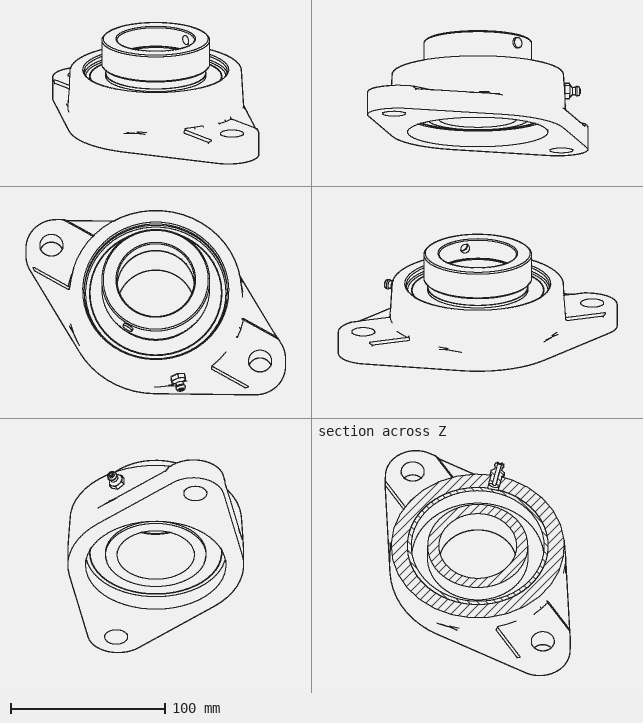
import cadquery as cq
import math

overall_length = 189.0
housing_base_radius = 114.0 / 2
housing_top_radius = 55.5
housing_top_z = 38.7
housing_edge_round = 1.0
lobe_radius = 19.8
lobe_center_x = overall_length / 2 - lobe_radius
web_top_z = 13.6
boss_top_z = 15.3
boss_top_half_width = 18.9
boss_foot_half_width = 20.2
flange_edge_round = 0.8
foot_fillet = 1.1
bolt_hole_diameter = 15.0
bolt_hole_x = 78.5
mouth_diameter = 92.8
mouth_chamfer = 1.0

bearing_outer_diameter = 91.0
bearing_face_z = 34.4
bearing_width = 24.0
bearing_bottom_z = bearing_face_z - bearing_width
bearing_middle_z = bearing_face_z - bearing_width / 2
outer_ring_inner_radius = 42.9
seal_edge_chamfer = 0.4
seal_cone_diameter = 76.2
seal_cone_rise = 0.2
seal_thickness = 2.8
bore_diameter = 50.0
inner_ring_diameter = 65.2
inner_ring_standout = 1.9
inner_ring_top_z = bearing_face_z + inner_ring_standout
sleeve_diameter = 59.3
sleeve_top_z = 46.5

collar_diameter = 70.0
collar_skirt_diameter = 64.5
collar_body_bottom_z = 41.5
collar_top_z = 60.0
collar_chamfer = 1.0
bore_chamfer = 0.8
screw_diameter = 6.8
screw_tap_diameter = 6.0
screw_z = 53.9
screw_inner_y = 30.0
screw_outer_y = 36.3

nipple_angle = 135.0
nipple_z = 27.4
nipple_shank_diameter = 6.8
nipple_shank_start = 49.1
nipple_hex_start = 56.5
nipple_hex_end = 59.5
nipple_hex_corners = 10.4
nipple_cone_end = 60.7
nipple_cone_end_radius = 3.0
nipple_neck_radius = 2.5
nipple_neck_start = 61.2
nipple_neck_end = 62.2
nipple_head_radius = 3.2
nipple_head_start = 63.3
nipple_head_middle = 64.3
nipple_head_end = 66.0
nipple_head_end_radius = 2.6
nipple_tip_radius = 1.5
nipple_tip_end = 66.5
nipple_passage_diameter = 2.3


def revolve_about_z(points):
    """Solid of revolution about Z from (radius, z) points."""
    return cq.Workplane("XZ").polyline(points).close().revolve(360, (0, 0), (0, 1))


def cylinder(diameter, bottom_z, top_z):
    return cq.Workplane("XY").workplane(offset=bottom_z).circle(diameter / 2).extrude(top_z - bottom_z)


def along_nipple(shape):
    """Turn a shape built along +Z so that it lies along the nipple radius."""
    turned = shape.rotate((0, 0, 0), (0, 0, 1), 90).rotate((0, 0, 0), (0, 1, 0), 90)
    return turned.rotate((0, 0, 0), (0, 0, 1), nipple_angle).translate((0, 0, nipple_z))


def wing_outline():
    """Right half of the flange beyond the drum: an end lobe with two lines tangent to the drum."""
    lean_sin = (housing_base_radius - lobe_radius) / lobe_center_x
    lean_cos = math.sqrt(1 - lean_sin**2)
    root_x = housing_base_radius * lean_sin
    root_y = housing_base_radius * lean_cos
    lobe_x = lobe_center_x + lobe_radius * lean_sin
    lobe_y = lobe_radius * lean_cos
    return (
        cq.Workplane("XY")
        .moveTo(root_x, root_y)
        .lineTo(lobe_x, lobe_y)
        .threePointArc((overall_length / 2, 0), (lobe_x, -lobe_y))
        .lineTo(root_x, -root_y)
        .close()
    )


def wing_plate(top_z):
    """Wing with a rounded top edge, except along its root inside the drum."""
    plate = wing_outline().extrude(top_z)
    return plate.faces(">Z").edges("not <X").fillet(flange_edge_round)


def boss_strip():
    """Long bar with sloping sides, as wide as the raised pads around the bolt holes."""
    return (
        cq.Workplane("YZ")
        .polyline([
            (-boss_foot_half_width, 0),
            (-boss_foot_half_width, web_top_z),
            (-boss_top_half_width, boss_top_z),
            (boss_top_half_width, boss_top_z),
            (boss_foot_half_width, web_top_z),
            (boss_foot_half_width, 0),
        ])
        .close()
        .extrude(overall_length / 2, both=True)
    )


def housing_radius_at(z):
    rise = (z - web_top_z) / (housing_top_z - web_top_z)
    return housing_base_radius + rise * (housing_top_radius - housing_base_radius)


def foot_fillet_ring(floor_z):
    """Concave ring between the tapered housing wall and a flat floor."""
    wall_top_z = floor_z + foot_fillet
    wall_radius = housing_radius_at(wall_top_z)
    outer_radius = wall_radius + foot_fillet
    bulge = foot_fillet * (1 - math.sqrt(0.5))
    root_radius = wall_radius - foot_fillet
    return (
        cq.Workplane("XZ")
        .moveTo(root_radius, floor_z)
        .lineTo(outer_radius, floor_z)
        .threePointArc((wall_radius + bulge, floor_z + bulge), (wall_radius, wall_top_z))
        .lineTo(root_radius, wall_top_z)
        .close()
        .revolve(360, (0, 0), (0, 1))
    )


def make_wing():
    """Low web with a raised bolt pad, and small fillets where both meet the drum."""
    boss = wing_plate(boss_top_z).intersect(boss_strip())
    flat_area = wing_outline().offset2D(-flange_edge_round).extrude(housing_top_z)
    boss_area = cq.Workplane("XY").box(overall_length, 2 * boss_top_half_width, 2 * housing_top_z)
    web_fillet = foot_fillet_ring(web_top_z).intersect(flat_area)
    boss_fillet = foot_fillet_ring(boss_top_z).intersect(flat_area).intersect(boss_area)
    return wing_plate(web_top_z).union(boss).union(web_fillet).union(boss_fillet)


def bearing_seat():
    """Through bore for the outer ring, with a conical step up to a wider chamfered mouth."""
    seat_radius = bearing_outer_diameter / 2
    mouth_radius = mouth_diameter / 2
    return revolve_about_z([
        (0, 0),
        (seat_radius, 0),
        (seat_radius, bearing_face_z),
        (mouth_radius, bearing_face_z + mouth_radius - seat_radius),
        (mouth_radius, housing_top_z - mouth_chamfer),
        (mouth_radius + mouth_chamfer, housing_top_z),
        (0, housing_top_z),
    ])


def make_housing():
    drum = revolve_about_z([
        (0, 0),
        (housing_base_radius, 0),
        (housing_base_radius, web_top_z),
        (housing_top_radius, housing_top_z),
        (0, housing_top_z),
    ])
    drum = drum.faces(">Z").edges().fillet(housing_edge_round)
    body = drum
    wing = make_wing()
    for turn in (0, 180):
        body = body.union(wing.rotate((0, 0, 0), (0, 0, 1), turn))

    body = body.cut(bearing_seat())
    for side in (-1, 1):
        bolt_hole = cylinder(bolt_hole_diameter, 0, boss_top_z).translate((side * bolt_hole_x, 0, 0))
        body = body.cut(bolt_hole)
    nipple_hole = along_nipple(cylinder(nipple_shank_diameter, 0, nipple_hex_start))
    return body.cut(nipple_hole)


def make_outer_ring():
    ring = cylinder(bearing_outer_diameter, bearing_bottom_z, bearing_face_z)
    return ring.cut(cylinder(2 * outer_ring_inner_radius, bearing_bottom_z, bearing_face_z))


def make_top_seal():
    """Annular seal with a chamfered rim, rising gently towards the inner ring."""
    back_z = bearing_face_z - seal_thickness
    return revolve_about_z([
        (inner_ring_diameter / 2, back_z),
        (outer_ring_inner_radius, back_z),
        (outer_ring_inner_radius, bearing_face_z - seal_edge_chamfer),
        (outer_ring_inner_radius - seal_edge_chamfer, bearing_face_z),
        (seal_cone_diameter / 2, bearing_face_z),
        (inner_ring_diameter / 2, bearing_face_z + seal_cone_rise),
    ])


def make_bottom_seal():
    return make_top_seal().mirror("XY", (0, 0, bearing_middle_z))


def make_inner_ring():
    bottom_z = bearing_bottom_z - inner_ring_standout
    ring = cylinder(inner_ring_diameter, bottom_z, inner_ring_top_z)
    ring = ring.union(cylinder(sleeve_diameter, inner_ring_top_z, sleeve_top_z))
    ring = ring.cut(cylinder(bore_diameter, bottom_z, sleeve_top_z))
    return ring.faces(">Z").edges(cq.selectors.RadiusNthSelector(0)).chamfer(bore_chamfer)


def make_collar():
    collar = cylinder(collar_diameter, collar_body_bottom_z, collar_top_z).edges().chamfer(collar_chamfer)
    collar = collar.union(cylinder(collar_skirt_diameter, inner_ring_top_z, collar_top_z - collar_chamfer))
    collar = collar.cut(cylinder(sleeve_diameter, inner_ring_top_z, sleeve_top_z))
    collar = collar.cut(cylinder(bore_diameter, sleeve_top_z, collar_top_z))
    collar = collar.faces(">Z").edges(cq.selectors.RadiusNthSelector(0)).chamfer(bore_chamfer)
    collar = collar.cut(screw_bar(screw_tap_diameter, 0, screw_outer_y))
    return collar.cut(screw_bar(screw_diameter, screw_inner_y, screw_outer_y))


def screw_bar(diameter, start_y, end_y):
    """Round bar along +Y at the height of the set screw."""
    bar = cylinder(diameter, start_y, end_y).rotate((0, 0, 0), (1, 0, 0), -90)
    return bar.translate((0, 0, screw_z))


def make_set_screw():
    return screw_bar(screw_diameter, screw_inner_y, screw_outer_y)


def make_grease_nipple():
    """Shank, hexagon with two corners up and down, and a necked round head."""
    hexagon = (
        cq.Workplane("XY")
        .workplane(offset=nipple_hex_start)
        .polygon(6, nipple_hex_corners)
        .extrude(nipple_hex_end - nipple_hex_start)
        .rotate((0, 0, 0), (0, 0, 1), 90)
    )
    hexagon_flat_radius = nipple_hex_corners / 2 * math.cos(math.radians(30))
    head = revolve_about_z([
        (0, nipple_hex_start),
        (hexagon_flat_radius, nipple_hex_start),
        (hexagon_flat_radius, nipple_hex_end),
        (nipple_cone_end_radius, nipple_cone_end),
        (nipple_neck_radius, nipple_neck_start),
        (nipple_neck_radius, nipple_neck_end),
        (nipple_head_end_radius, nipple_head_start),
        (nipple_head_radius, nipple_head_middle),
        (nipple_head_end_radius, nipple_head_end),
        (nipple_tip_radius, nipple_head_end),
        (nipple_tip_radius, nipple_tip_end),
        (0, nipple_tip_end),
    ])
    shank = cylinder(nipple_shank_diameter, nipple_shank_start, nipple_hex_end)
    passage = cylinder(nipple_passage_diameter, nipple_shank_start, nipple_tip_end)
    return along_nipple(shank.union(hexagon).union(head).cut(passage))


housing = make_housing()
outer_ring = make_outer_ring()
top_seal = make_top_seal()
bottom_seal = make_bottom_seal()
inner_ring = make_inner_ring()
collar = make_collar()
set_screw = make_set_screw()
grease_nipple = make_grease_nipple()

result = cq.Compound.makeCompound([
    housing.solids().val(),
    outer_ring.solids().val(),
    top_seal.solids().val(),
    bottom_seal.solids().val(),
    inner_ring.solids().val(),
    collar.solids().val(),
    set_screw.solids().val(),
    grease_nipple.solids().val(),
])